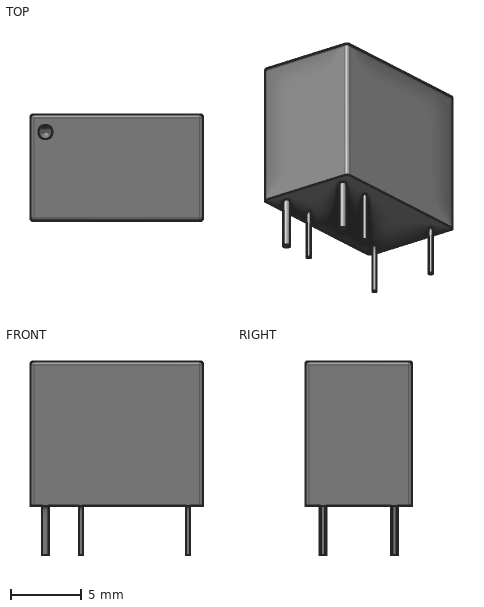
import cadquery as cq

length = 12.3
width = 7.6
total_height = 13.8
pin_length = 3.5
case_height = total_height - pin_length
edge_radius = 0.25

pitch = 2.54
thick_pin_diameter = 0.5
thin_pin_diameter = 0.3
thick_pin_column = -2 * pitch
thin_pin_columns = [-pitch, 2 * pitch]

dimple_radius = 0.5


def make_case():
    """Block with its upright and top edges rounded; the bottom stays sharp."""
    block = cq.Workplane("XY").box(length, width, case_height, centered=(True, True, False))
    return block.edges("|Z or >Z").fillet(edge_radius)


def make_pin_pair(x, diameter):
    """Two round pins hanging below the case, one on each side of the X axis."""
    return (
        cq.Workplane("XY")
        .pushPoints([(x, -pitch), (x, pitch)])
        .circle(diameter / 2)
        .extrude(-pin_length)
    )


def make_dimple():
    """Ball centred on the top face, above the first thick pin."""
    return cq.Workplane("XY").sphere(dimple_radius).translate((thick_pin_column, pitch, case_height))


result = make_case().cut(make_dimple())
result = result.union(make_pin_pair(thick_pin_column, thick_pin_diameter))
for column in thin_pin_columns:
    result = result.union(make_pin_pair(column, thin_pin_diameter))